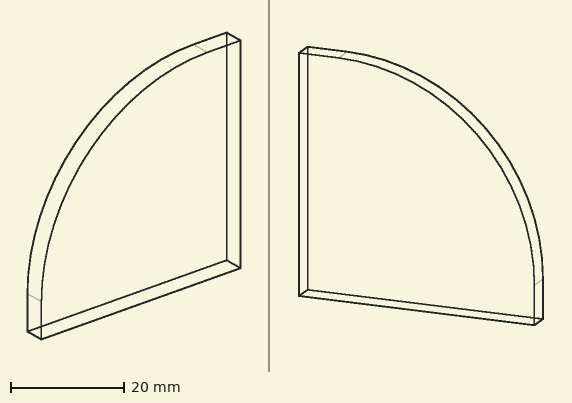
import cadquery as cq

side = 45.0
thickness = 4.0
straight_end = 7.5

corner_radius = side - straight_end

plate = cq.Workplane("XY").box(thickness, side, side)

result = plate.edges("|X").edges("<Y").edges(">Z").fillet(corner_radius)